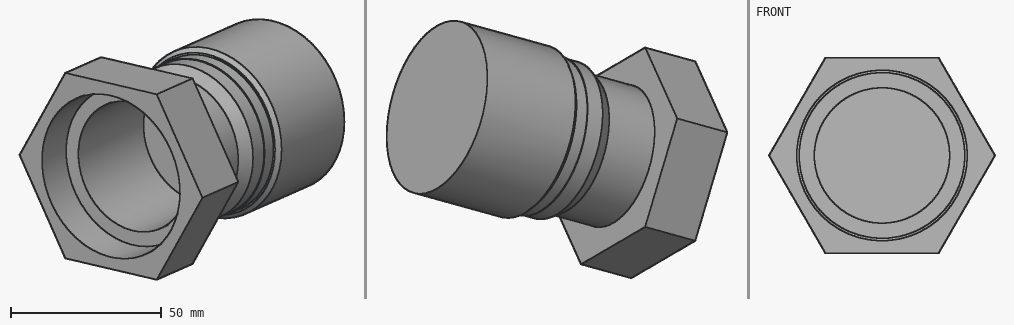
import cadquery as cq
import math

total_length = 91.2
across_flats = 65.0
across_corners = across_flats / math.cos(math.radians(30))

nut_length = 20.25
nut_bore_diameter = 56.6
lip_thickness = 3.3
lip_clearance_diameter = 48.7

flange_diameter = 55.0
neck_diameter = 48.5
shoulder_diameter = 54.0
collar_diameter = 54.5
sleeve_diameter = 59.0
sleeve_chamfer = 1.55
bore_diameter = 45.0

flange_front = 12.5
flange_back = nut_length - lip_thickness
neck_end = 38.5
cone_end = 43.05
collar_start = 49.25
sleeve_start = 54.2
bore_end = collar_start


def cylinder(diameter, start, end):
    """Cylinder on the Y axis between two positions."""
    return cq.Workplane("XZ", origin=(0, start, 0)).circle(diameter / 2).extrude(start - end)


def make_union_nut():
    """Hexagonal nut whose back lip surrounds the neck of the tail piece."""
    hexagon = cq.Workplane("XZ").polygon(6, across_corners).extrude(-nut_length)
    socket = cylinder(nut_bore_diameter, 0, flange_back)
    lip_hole = cylinder(lip_clearance_diameter, flange_back, nut_length)
    return hexagon.cut(socket).cut(lip_hole)


def make_tail_piece():
    """Flanged neck, conical shoulder, collar and chamfered sleeve with a blind bore."""
    outline = [
        (0, flange_front),
        (flange_diameter / 2, flange_front),
        (flange_diameter / 2, flange_back),
        (neck_diameter / 2, flange_back),
        (neck_diameter / 2, neck_end),
        (shoulder_diameter / 2, cone_end),
        (shoulder_diameter / 2, collar_start),
        (collar_diameter / 2, collar_start),
        (collar_diameter / 2, sleeve_start),
        (sleeve_diameter / 2 - sleeve_chamfer, sleeve_start),
        (sleeve_diameter / 2, sleeve_start + sleeve_chamfer),
        (sleeve_diameter / 2, total_length),
        (0, total_length),
    ]
    body = cq.Workplane("XY").polyline(outline).close().revolve(360, (0, 0, 0), (0, 1, 0))
    return body.cut(cylinder(bore_diameter, flange_front, bore_end))


union_nut = make_union_nut()
tail_piece = make_tail_piece()
result = cq.Compound.makeCompound([union_nut.val(), tail_piece.val()])